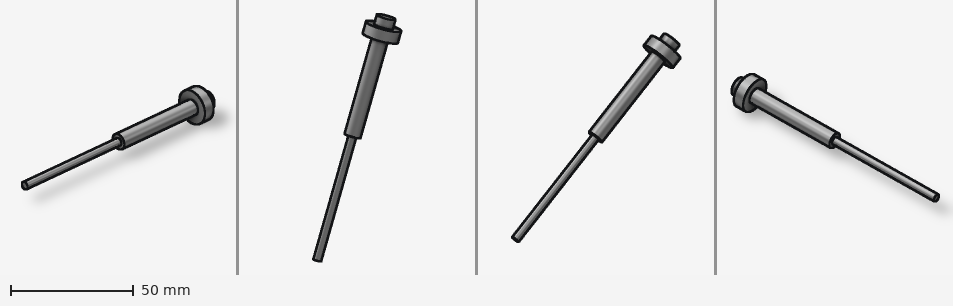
import cadquery as cq

total_length = 104.5
stub_length = 4.0
flange_length = 5.0
sleeve_length = 42.0
rod_length = total_length - stub_length - flange_length - sleeve_length

stub_diameter = 8.0
flange_diameter = 15.0
sleeve_diameter = 6.85
rod_diameter = 3.4

sections = [
    (rod_diameter, rod_length),
    (sleeve_diameter, sleeve_length),
    (flange_diameter, flange_length),
    (stub_diameter, stub_length),
]

tip_y = -(rod_length + sleeve_length)


def cylinder_along_y(diameter, start_y, length):
    """Solid cylinder on the Y axis, growing toward +Y from start_y."""
    base = cq.Workplane("XZ", origin=(0, start_y, 0))
    return base.circle(diameter / 2).extrude(-length)


def stepped_pin():
    """Coaxial cylinders stacked end to end along Y."""
    body = cq.Workplane("XZ")
    start_y = tip_y
    for diameter, length in sections:
        body = body.union(cylinder_along_y(diameter, start_y, length))
        start_y += length
    return body


result = stepped_pin()